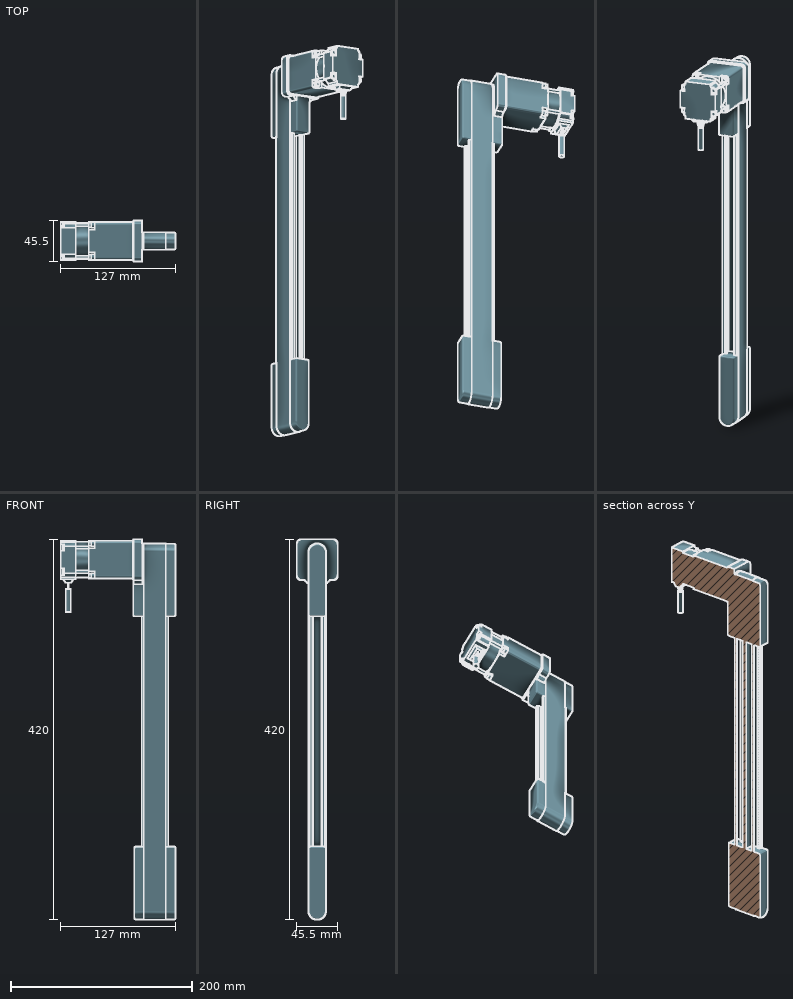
import cadquery as cq
import math

total_length = 127.0
total_height = 420.0

lower_housing_left = 81.0
beam_x = (lower_housing_left + total_length) / 2
cover_width = 24.5
cover_depth = 19.7
cover_height = 415.5
core_width = 29.5
core_depth = 17.0
slot_mouth = 11.5
slot_throat = 9.0
slot_bevel_depth = 1.3
slot_lip = 4.0
slot_cavity = 11.8
slot_depth = 11.8

housing_depth = 19.0
housing_round = 2.0
lower_housing_top = 81.0
upper_housing_left = 80.0
upper_housing_bottom = 334.7
round_center_low = cover_depth / 2
round_center_high = cover_height - cover_depth / 2

flange_size = 45.5
flange_left = 80.5
flange_right = 90.0
flange_round = 5.0
flange_lip_top = 28.5
flange_lip_bottom = 19.5
flange_lip_height = 4.0
collar_size = 44.5
collar_length = 1.3
collar_chamfer = 1.0

motor_z = total_height - flange_size / 2
motor_size = 42.0
motor_round = 3.5
motor_rear = 31.0
motor_notch_start = 12.5
motor_notch_depth = 6.5
motor_screw_place = 17.5
motor_screw_diameter = 6.0
motor_screw_length = 3.8
motor_stud_diameter = 4.5
neck_diameter = 40.0
tie_rod_diameter = 3.25

cap_length = 16.5
cap_flat = 29.5
cap_corner_diameter = 48.5
cap_bottom_lip = 1.0
cap_notch_y = 16.0
cap_notch_z = 9.5
cap_notch_height = 7.5
cap_notch_depth = 3.8
cap_screw_y = 17.5
cap_screw_z = 13.5
cap_screw_diameter = 5.5
cap_screw_length = 1.5

cable_x = 8.5
gland_top_size = (11.5, 18.5)
gland_bottom_size = (6.0, 15.0)
gland_height = 3.8
wire_diameter = 1.0
wire_count = 5
wire_top_spread = 8.5
wire_bottom_spread = 4.0
sleeve_diameter = 6.0
sleeve_top = 365.0
sleeve_bottom = 339.5

overlap = 0.5

corners = [(side, level) for side in (-1, 1) for level in (-1, 1)]


def span_box(x_range, y_range, z_range):
    """Box between two limits along each axis."""
    sizes = [high - low for low, high in (x_range, y_range, z_range)]
    origin = (x_range[0], y_range[0], z_range[0])
    return cq.Workplane("XY").box(*sizes, centered=False).translate(origin)


def motor_bar(width, height, start, end):
    """Rectangular bar along the motor axis."""
    return cq.Workplane("YZ", origin=(start, 0, motor_z)).rect(width, height).extrude(end - start)


def motor_rod(diameter, start, end, y=0, z=0):
    """Cylinder along X, placed relative to the motor axis."""
    return cq.Workplane("YZ", origin=(start, y, motor_z + z)).circle(diameter / 2).extrude(end - start)


def corner_block(side, level, y_start, z_start, start, end, height=motor_size):
    """Block at a corner of the motor section, reaching outward from its inner corner."""
    y_range = sorted((side * y_start, side * motor_size))
    z_range = sorted((motor_z + level * z_start, motor_z + level * (z_start + height)))
    return span_box((start, end), y_range, z_range)


def round_end_plate(depth, left, right, square_z, center_z):
    """Upright plate whose end at center_z is a half cylinder; the other end is square."""
    half = depth / 2
    direction = math.copysign(1, center_z - square_z)
    return (
        cq.Workplane("YZ", origin=(left, 0, 0))
        .moveTo(-half, square_z)
        .lineTo(-half, center_z)
        .threePointArc((0, center_z + direction * half), (half, center_z))
        .lineTo(half, square_z)
        .close()
        .extrude(right - left)
    )


def make_cover():
    """Belt cover, rounded over at the foot and at the head."""
    mid_z = cover_height / 2
    left = beam_x - cover_width / 2
    right = beam_x + cover_width / 2
    lower = round_end_plate(cover_depth, left, right, mid_z, round_center_low)
    upper = round_end_plate(cover_depth, left, right, mid_z, round_center_high)
    return lower.union(upper)


def make_core():
    """Beam core between the two housings, wider but thinner than the cover."""
    height = upper_housing_bottom - lower_housing_top + 2 * overlap
    plane = cq.Workplane("XY", origin=(beam_x, 0, lower_housing_top - overlap))
    return plane.rect(core_width, core_depth).extrude(height)


def make_slot(side):
    """Undercut slot with a bevelled mouth, open on one narrow side of the beam core."""
    mouth_x = core_width / 2
    half_outline = [
        (mouth_x, slot_mouth / 2),
        (mouth_x - slot_bevel_depth, slot_throat / 2),
        (mouth_x - slot_lip, slot_throat / 2),
        (mouth_x - slot_lip, slot_cavity / 2),
        (mouth_x - slot_depth, slot_cavity / 2),
    ]
    outline = half_outline + [(x, -y) for x, y in reversed(half_outline)]
    plane = cq.Workplane("XY", origin=(beam_x, 0, lower_housing_top - overlap))
    height = upper_housing_bottom - lower_housing_top + 2 * overlap
    return plane.polyline([(side * x, y) for x, y in outline]).close().extrude(height)


def make_housing(left, square_z, center_z):
    """Housing with one round end and softened edges around both narrow sides."""
    square_side = "<Z" if square_z < center_z else ">Z"
    plate = round_end_plate(housing_depth, left, total_length, square_z, center_z)
    plate = plate.faces(square_side).edges("|X").fillet(housing_round)
    return plate.faces("<X or >X").edges().fillet(housing_round)


def make_flange():
    """Square flange with a tapered lip below it and a bevelled collar toward the motor."""
    plate = motor_bar(flange_size, flange_size, flange_left, flange_right)
    plate = plate.edges("|X").fillet(flange_round)
    lip_top = -flange_size / 2
    lip = (
        cq.Workplane("YZ", origin=(flange_left, 0, motor_z))
        .moveTo(-flange_lip_top / 2, lip_top)
        .lineTo(-flange_lip_bottom / 2, lip_top - flange_lip_height)
        .lineTo(flange_lip_bottom / 2, lip_top - flange_lip_height)
        .lineTo(flange_lip_top / 2, lip_top)
        .close()
        .extrude(flange_right - flange_left)
    )
    collar = motor_bar(collar_size, collar_size, flange_left - collar_length, flange_left)
    collar = collar.edges("|X").fillet(flange_round).faces("<X").chamfer(collar_chamfer)
    return plate.union(lip).union(collar)


def make_motor():
    """Motor body with screws in its rear corner notches, and the neck behind it."""
    notch_end = motor_rear + motor_notch_depth
    screw_start = notch_end - motor_screw_length
    body = motor_bar(motor_size, motor_size, motor_rear, flange_left).edges("|X").fillet(motor_round)
    for side, level in corners:
        notch = corner_block(side, level, motor_notch_start, motor_notch_start, motor_rear, notch_end)
        body = body.cut(notch)
    body = body.union(motor_rod(neck_diameter, cap_length, motor_rear))
    for side, level in corners:
        screw_y = side * motor_screw_place
        screw_z = level * motor_screw_place
        rod_y = side * cap_screw_y
        rod_z = level * cap_screw_z
        body = body.union(motor_rod(motor_screw_diameter, screw_start, notch_end, screw_y, screw_z))
        body = body.union(motor_rod(motor_stud_diameter, motor_rear, screw_start, screw_y, screw_z))
        body = body.union(motor_rod(tie_rod_diameter, cap_length, motor_rear, rod_y, rod_z))
    return body


def make_cap():
    """Rear cap: flat sides joined by recessed round corners, with a screw in each corner notch."""
    rounded = motor_rod(cap_corner_diameter, 0, cap_length)
    cap = motor_bar(motor_size, motor_size, 0, cap_length).intersect(rounded)
    cap = cap.union(motor_bar(motor_size, cap_flat, 0, cap_length))
    cap = cap.union(motor_bar(cap_flat, motor_size, 0, cap_length))
    lip_top = motor_z - motor_size / 2
    lip_half = cap_flat / 2
    lip = span_box((0, cap_length), (-lip_half, lip_half), (lip_top - cap_bottom_lip, lip_top))
    cap = cap.union(lip)
    for side, level in corners:
        notch = corner_block(side, level, cap_notch_y, cap_notch_z, 0, cap_notch_depth, cap_notch_height)
        cap = cap.cut(notch)
    for side, level in corners:
        screw_start = cap_notch_depth - cap_screw_length
        screw_y = side * cap_screw_y
        screw_z = level * cap_screw_z
        cap = cap.union(motor_rod(cap_screw_diameter, screw_start, cap_notch_depth, screw_y, screw_z))
    return cap


def make_cable():
    """Tapered gland below the cap, a fan of wires, and the sleeve that gathers them."""
    gland_top = motor_z - motor_size / 2 - cap_bottom_lip
    gland_bottom = gland_top - gland_height
    cable = (
        cq.Workplane("XY", origin=(cable_x, 0, gland_top))
        .rect(*gland_top_size)
        .workplane(offset=-gland_height)
        .rect(*gland_bottom_size)
        .loft(combine=True)
    )
    sleeve = cq.Workplane("XY", origin=(cable_x, 0, sleeve_bottom)).circle(sleeve_diameter / 2)
    cable = cable.union(sleeve.extrude(sleeve_top - sleeve_bottom))
    for index in range(wire_count):
        place = index / (wire_count - 1) - 0.5
        start = cq.Vector(cable_x, place * wire_bottom_spread, sleeve_top - overlap)
        end = cq.Vector(cable_x, place * wire_top_spread, gland_bottom + overlap)
        path = end - start
        wire = cq.Solid.makeCylinder(wire_diameter / 2, path.Length, start, path)
        cable = cable.union(cq.Workplane(obj=wire))
    return cable


beam = make_cover().union(make_core())
for side in (-1, 1):
    beam = beam.cut(make_slot(side))

result = (
    beam
    .union(make_housing(lower_housing_left, lower_housing_top, round_center_low))
    .union(make_housing(upper_housing_left, upper_housing_bottom, round_center_high))
    .union(make_flange())
    .union(make_motor())
    .union(make_cap().union(make_cable()))
)